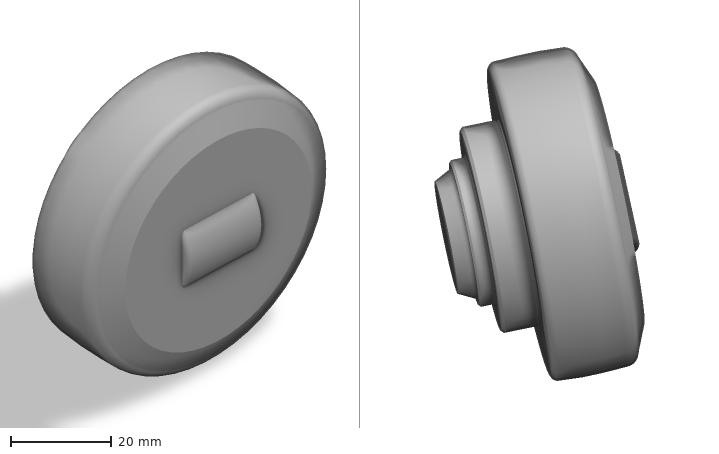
import cadquery as cq
import math


tip_radius = 11.45
taper_radius = 13.3
taper_length = 3.6

collar_radius = 14.95
collar_chamfer = 0.45
foot_flare = 0.5

ring_start = 6.95
ring_radius = 20.95
ring_chamfer = 0.6
ring_rear_chamfer = 0.3

roller_start = 14.8
roller_end = 35.1
tread_start = 16.45
tread_end = 30.0
tread_edge_radius = 32.5
crown_radius = 32.75
front_round = tread_start - roller_start
rear_face_radius = 25.0
shoulder_x = 32.8
shoulder_radius = 30.3
rear_round_bulge = 0.65

axial_radius = 12.3
axial_length = 20.0
axial_round = 1.0
axial_protrusion = 2.3


def turned_body():
    """Stub, collar, inner ring and outer roller as one revolved profile."""
    ring_end = roller_start - ring_rear_chamfer
    tread_middle = (tread_start + tread_end) / 2
    round_center_radius = tread_edge_radius - front_round
    diagonal = front_round * math.sqrt(0.5)

    chord_x = shoulder_x - tread_end
    chord_drop = tread_edge_radius - shoulder_radius
    chord = math.hypot(chord_x, chord_drop)
    rear_middle = (
        (tread_end + shoulder_x) / 2 + rear_round_bulge * chord_drop / chord,
        (tread_edge_radius + shoulder_radius) / 2 + rear_round_bulge * chord_x / chord,
    )

    profile = (
        cq.Workplane("XY")
        .moveTo(0, 0)
        .lineTo(0, tip_radius)
        .lineTo(taper_length, taper_radius)
        .lineTo(taper_length, collar_radius - collar_chamfer)
        .lineTo(taper_length + collar_chamfer, collar_radius)
        .lineTo(ring_start - foot_flare, collar_radius)
        .lineTo(ring_start, collar_radius + foot_flare)
        .lineTo(ring_start, ring_radius - ring_chamfer)
        .lineTo(ring_start + ring_chamfer, ring_radius)
        .lineTo(ring_end - ring_rear_chamfer, ring_radius)
        .lineTo(ring_end, ring_radius - ring_rear_chamfer)
        .lineTo(ring_end, ring_radius)
        .lineTo(roller_start, ring_radius)
        .lineTo(roller_start, round_center_radius)
        .threePointArc(
            (tread_start - diagonal, round_center_radius + diagonal),
            (tread_start, tread_edge_radius),
        )
        .threePointArc((tread_middle, crown_radius), (tread_end, tread_edge_radius))
        .threePointArc(rear_middle, (shoulder_x, shoulder_radius))
        .lineTo(roller_end, rear_face_radius)
        .lineTo(roller_end, 0)
        .close()
    )
    return profile.revolve(360, (0, 0, 0), (1, 0, 0))


def axial_roller():
    """Cylinder along Y with rounded ends, mostly sunk into the outer roller."""
    axis_x = roller_end + axial_protrusion - axial_radius
    return (
        cq.Workplane("XZ", origin=(axis_x, 0, 0))
        .circle(axial_radius)
        .extrude(axial_length / 2, both=True)
        .edges("%CIRCLE")
        .fillet(axial_round)
    )


result = turned_body().union(axial_roller())